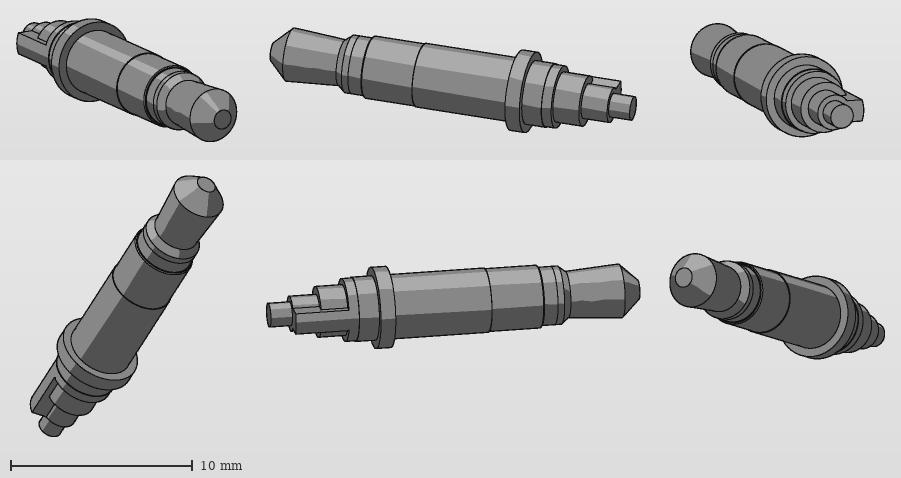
import cadquery as cq

pin_end = 0.0
inner_step_start = 1.2
middle_step_start = 2.7
outer_step_start = 4.18
sleeve_start = 4.75
flange_start = 5.85
flange_end = 6.69
sleeve_step = 12.17
sleeve_end = 15.13
spacer_end = 15.9
shoulder_end = 16.27
neck_start = 16.68
tip_widest = 19.69
nose_end = 20.7

pin_radius = 0.66
inner_step_radius = 0.97
middle_step_radius = 1.4
collar_radius = 1.74
sleeve_radius = 1.78
flange_radius = 4.5 / 2
shoulder_radius = 1.61
neck_radius = 1.28
tip_radius = 1.5
nose_radius = 0.54

insulator_tube_radius = 1.14
sleeve_chamfer = 0.06
key_height = 1.2


def turned(profile):
    """Revolve a closed (x, radius) profile about the X axis."""
    return cq.Workplane("XY").polyline(profile).close().revolve(360, (0, 0, 0), (1, 0, 0))


def make_tip_contact():
    """Solder pin, core rod and flared tip in one piece."""
    return turned([
        (pin_end, 0),
        (pin_end, pin_radius),
        (spacer_end, pin_radius),
        (spacer_end, shoulder_radius),
        (shoulder_end, shoulder_radius),
        (neck_start, neck_radius),
        (tip_widest, tip_radius),
        (nose_end, nose_radius),
        (nose_end, 0),
    ])


def make_insulator():
    """Stepped tube around the core, with a key on -Y and a spacer behind the tip."""
    blank = turned([
        (inner_step_start, pin_radius),
        (inner_step_start, collar_radius),
        (sleeve_start, collar_radius),
        (sleeve_start, insulator_tube_radius),
        (sleeve_end, insulator_tube_radius),
        (sleeve_end, shoulder_radius),
        (spacer_end, shoulder_radius),
        (spacer_end, pin_radius),
    ])
    step_waste = turned([
        (inner_step_start, inner_step_radius),
        (middle_step_start, inner_step_radius),
        (middle_step_start, middle_step_radius),
        (outer_step_start, middle_step_radius),
        (outer_step_start, collar_radius),
        (inner_step_start, collar_radius),
    ])
    key_block = (
        cq.Workplane("XY", origin=(inner_step_start, -collar_radius, 0))
        .box(outer_step_start - inner_step_start, collar_radius, key_height, centered=(False, False, True))
    )
    return blank.cut(step_waste.cut(key_block))


def make_sleeve():
    """Flanged outer shell, slightly narrower toward the tip."""
    return turned([
        (sleeve_start, insulator_tube_radius),
        (sleeve_start, sleeve_radius),
        (flange_start, sleeve_radius),
        (flange_start, flange_radius),
        (flange_end, flange_radius),
        (flange_end, sleeve_radius),
        (sleeve_step, sleeve_radius),
        (sleeve_step, collar_radius),
        (sleeve_end - sleeve_chamfer, collar_radius),
        (sleeve_end, collar_radius - sleeve_chamfer),
        (sleeve_end, insulator_tube_radius),
    ])


tip_contact = make_tip_contact()
insulator = make_insulator()
sleeve = make_sleeve()

result = cq.Compound.makeCompound([tip_contact.val(), insulator.solids().val(), sleeve.val()])